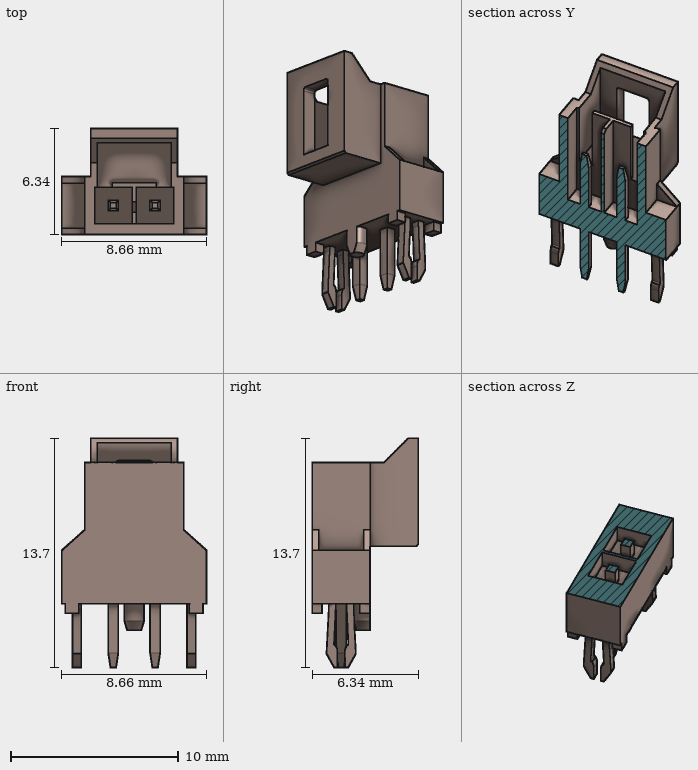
import cadquery as cq
import math


body_width = 5.93
body_depth = 3.47
body_height = 8.45
base_width = 8.66
wing_height = 3.20
shoulder_height = 4.43
wing_rib_front = 0.38
wing_rib_back = 0.40

tower_width = 5.20
tower_back = 6.34
tower_bottom = 3.44
tower_top = 9.90
tower_crest = 0.60
tower_edge_chamfer = 0.12
tower_slope_rise = tower_top - body_height
tower_slope_front = tower_back - tower_crest - tower_slope_rise

cavity_width = 4.71
cavity_front = 0.655
cavity_back = 2.82
cavity_floor = 2.00
pocket_width = 4.43
pocket_back = 5.47
pocket_floor = 4.30
window_width = 2.20
window_top = 8.56
window_corner_radius = 0.20

divider_thickness = 0.235
divider_high_front = 1.95
divider_drop = 0.63
crossbar_width = 2.63
crossbar_thickness = 0.26

pin_pitch = 2.50
pin_size = 0.62
pin_tip_size = 0.34
pin_taper = 0.90
pin_bottom = -3.81
pin_top = 6.00
pin_y = body_depth / 2

clip_inner_x = 3.15
clip_thickness = 0.54
clip_root_half_width = 0.745
clip_barb_half_width = 0.88
clip_tip_half_width = 0.42
clip_root_half_gap = 0.32
clip_wide_half_gap = 0.42
clip_tip_half_gap = 0.22
clip_straight_end = -0.28
clip_gap_end = -2.49
clip_gap_corner_radius = 0.10
clip_throat_start = -2.88
clip_barb_top = -2.88
clip_barb_bottom = -2.98

foot_inner_x = 3.30
foot_width = 0.82
foot_height = 0.57
front_foot_depth = 0.59
back_foot_depth = 0.63

peg_radius = 0.60
peg_tip_radius = 0.425
peg_y = 3.07
peg_straight = 1.00
peg_length = 1.58


def block(x_range, y_range, z_range):
    """Box spanning the given (low, high) ranges."""
    size = [high - low for low, high in (x_range, y_range, z_range)]
    corner = (x_range[0], y_range[0], z_range[0])
    return cq.Workplane("XY").box(*size, centered=False).translate(corner)


def centered_block(width, y_range, z_range):
    """Box centred on X = 0."""
    return block((-width / 2, width / 2), y_range, z_range)


def both_sides(shape):
    """The shape together with its mirror image across X = 0."""
    return shape.union(shape.mirror("YZ"))


def make_housing():
    half_base = base_width / 2
    half_body = body_width / 2
    outline = [
        (-half_base, 0),
        (half_base, 0),
        (half_base, wing_height),
        (half_body, shoulder_height),
        (half_body, body_height),
        (-half_body, body_height),
        (-half_body, shoulder_height),
        (-half_base, wing_height),
    ]
    housing = cq.Workplane("XZ").polyline(outline).close().extrude(-body_depth)
    wing_recess = block(
        (half_body, half_base),
        (wing_rib_front, body_depth - wing_rib_back),
        (wing_height, shoulder_height),
    )
    return housing.cut(both_sides(wing_recess))


def make_tower():
    profile = [
        (cavity_back, tower_bottom),
        (tower_back - tower_edge_chamfer, tower_bottom),
        (tower_back, tower_bottom + tower_edge_chamfer),
        (tower_back, tower_top),
        (tower_back - tower_crest, tower_top),
        (tower_slope_front, body_height),
        (cavity_back, body_height),
    ]
    plane = cq.Workplane("YZ").workplane(offset=-tower_width / 2)
    return plane.polyline(profile).close().extrude(tower_width)


def make_openings():
    cavity = centered_block(cavity_width, (cavity_front, cavity_back), (cavity_floor, body_height))
    pocket = centered_block(pocket_width, (cavity_back, pocket_back), (pocket_floor, tower_top))
    window = centered_block(window_width, (pocket_back, tower_back), (pocket_floor, window_top))
    window = window.edges("|Y and >Z").fillet(window_corner_radius)
    return cavity.union(pocket).union(window)


def make_divider():
    profile = [
        (cavity_front, cavity_floor),
        (cavity_back, cavity_floor),
        (cavity_back, body_height),
        (divider_high_front, body_height),
        (divider_high_front - divider_drop, body_height - divider_drop),
        (cavity_front, body_height - divider_drop),
    ]
    plane = cq.Workplane("YZ").workplane(offset=-divider_thickness / 2)
    stem = plane.polyline(profile).close().extrude(divider_thickness)
    crossbar = centered_block(
        crossbar_width,
        (cavity_back, cavity_back + crossbar_thickness),
        (pocket_floor, body_height),
    )
    return stem.union(crossbar)


def make_pin():
    shank_bottom = pin_bottom + pin_taper
    shank_top = pin_top - pin_taper
    pin = (
        cq.Workplane("XY", origin=(0, 0, shank_bottom))
        .rect(pin_size, pin_size)
        .extrude(shank_top - shank_bottom)
    )
    taper_angle = math.degrees(math.atan2((pin_size - pin_tip_size) / 2, pin_taper))
    for face in (">Z", "<Z"):
        pin = pin.faces(face).workplane().rect(pin_size, pin_size).extrude(pin_taper, taper=taper_angle)
    return pin.translate((pin_pitch / 2, pin_y, 0))


def make_clip():
    corner_y = clip_wide_half_gap - clip_gap_corner_radius
    corner_z = clip_gap_end + clip_gap_corner_radius
    corner_reach = clip_gap_corner_radius * math.sqrt(0.5)
    corner_middle = (corner_y + corner_reach, corner_z - corner_reach)
    leg = (
        cq.Workplane("YZ", origin=(clip_inner_x, 0, 0))
        .moveTo(clip_root_half_gap, 0)
        .lineTo(clip_root_half_width, 0)
        .lineTo(clip_root_half_width, clip_straight_end)
        .lineTo(clip_barb_half_width, clip_barb_top)
        .lineTo(clip_barb_half_width, clip_barb_bottom)
        .lineTo(clip_tip_half_width, pin_bottom)
        .lineTo(clip_tip_half_gap, pin_bottom)
        .lineTo(clip_tip_half_gap, clip_throat_start)
        .tangentArcPoint((corner_y, clip_gap_end), relative=False)
        .threePointArc(corner_middle, (clip_wide_half_gap, corner_z))
        .lineTo(clip_root_half_gap, clip_straight_end)
        .close()
        .extrude(clip_thickness)
    )
    return leg.union(leg.mirror("XZ")).translate((0, pin_y, 0))


def make_feet():
    x_range = (foot_inner_x, foot_inner_x + foot_width)
    z_range = (-foot_height, 0)
    front_foot = block(x_range, (0, front_foot_depth), z_range)
    back_foot = block(x_range, (body_depth - back_foot_depth, body_depth), z_range)
    return front_foot.union(back_foot)


def make_peg():
    half_profile = [
        (0, 0),
        (peg_radius, 0),
        (peg_radius, -peg_straight),
        (peg_tip_radius, -peg_length),
        (0, -peg_length),
    ]
    peg = cq.Workplane("XZ").polyline(half_profile).close().revolve(360, (0, 0, 0), (0, 1, 0))
    overhang = centered_block(
        2 * peg_radius,
        (body_depth, peg_y + peg_radius),
        (-peg_length, 0),
    )
    return peg.translate((0, peg_y, 0)).cut(overhang)


result = make_housing().union(make_tower()).cut(make_openings()).union(make_divider())
for paired_part in (make_pin(), make_clip(), make_feet()):
    result = result.union(both_sides(paired_part))
result = result.union(make_peg())